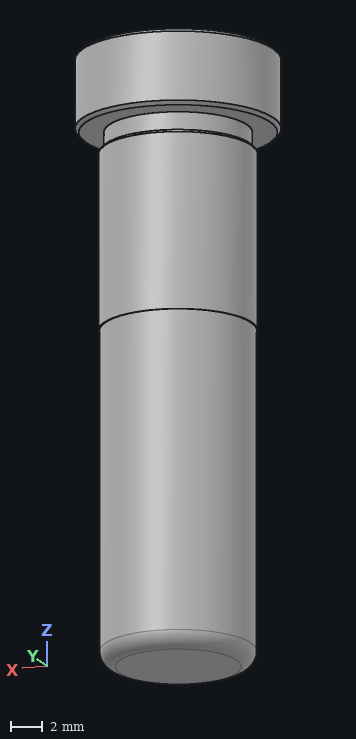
import cadquery as cq

total_length = 40.0
head_diameter = 13.0
head_height = 5.0
neck_diameter = 9.35
neck_length = 1.2
shank_diameter = 10.05
lead_diameter = 9.9
lead_top = 22.0

head_edge = 0.25
shank_top_chamfer = 0.2
tip_radius = 1.0

head_bottom = total_length - head_height
shank_top = head_bottom - neck_length


def cylinder(diameter, bottom, top):
    """Cylinder on the Z axis between two heights."""
    return cq.Workplane("XY").workplane(offset=bottom).circle(diameter / 2).extrude(top - bottom)


head = cylinder(head_diameter, head_bottom, total_length).edges().chamfer(head_edge)

neck = cylinder(neck_diameter, shank_top, head_bottom)

shank = cylinder(shank_diameter, lead_top, shank_top).faces(">Z").edges().chamfer(shank_top_chamfer)

lead = cylinder(lead_diameter, 0, lead_top).faces("<Z").edges().fillet(tip_radius)

result = head.union(neck).union(shank).union(lead)